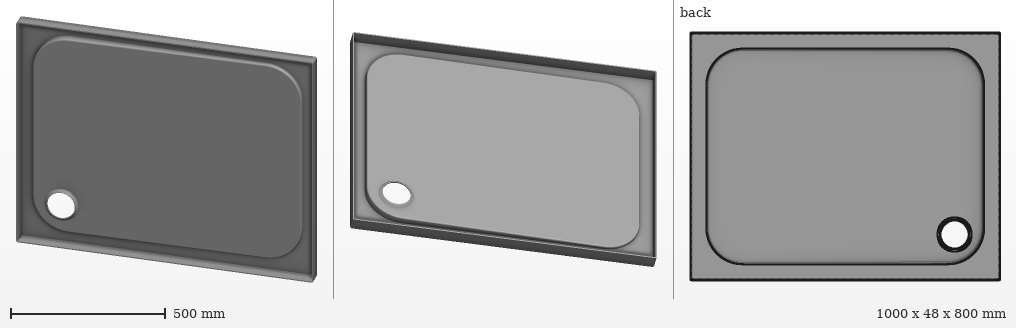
import cadquery as cq

length = 1000.0
depth = 48.0
height = 800.0
thickness = 4.0
edge_radius = 6.0

basin_margin = 48.0
basin_corner_radius = 121.0
basin_draft = 5.0
basin_drop_deep = 26.0
basin_drop_shallow = 11.0
basin_edge_radius = 5.0
basin_root_radius = 2.0

drain_x = -353.0
drain_z = -252.0
cup_base_radius = 57.0
cup_tip_radius = 48.0
cup_drop = 7.0
drain_radius = 46.0

rim_y = depth / 2
underside_y = rim_y - thickness
basin_half_length = length / 2 - basin_margin
floor_slope = (basin_drop_deep - basin_drop_shallow) / (2 * basin_half_length)


def plane_at(y):
    """Sketch plane facing -Y, with local x along X and local y along Z."""
    return cq.Workplane("XZ", origin=(0, y, 0))


def floor_plane(surface_y, x=0, z=0):
    """Plane parallel to the sloping floor, facing -Y, for a rim surface at surface_y."""
    middle_drop = (basin_drop_deep + basin_drop_shallow) / 2
    y = surface_y - middle_drop + floor_slope * x
    return cq.Workplane(cq.Plane((x, y, z), (1, floor_slope, 0), (floor_slope, -1, 0)))


def basin_block(surface_y, inset):
    """Tapered basin volume from surface_y to the sloping floor."""
    margin = basin_margin + inset
    outline = (
        cq.Sketch()
        .rect(length - 2 * margin, height - 2 * margin)
        .vertices()
        .fillet(basin_corner_radius - inset)
    )
    block = plane_at(surface_y).placeSketch(outline).extrude(depth, taper=basin_draft)
    beyond_floor = floor_plane(surface_y).rect(2 * length, 2 * height).extrude(2 * depth)
    return block.cut(beyond_floor).faces("<Y").edges().fillet(basin_edge_radius)


def rim():
    """Thin plate with a skirt around it, open towards -Y."""
    block = (
        plane_at(rim_y)
        .rect(length, height)
        .extrude(depth)
        .edges("|Y")
        .fillet(edge_radius)
        .faces(">Y")
        .edges()
        .fillet(edge_radius)
    )
    cavity = (
        plane_at(underside_y)
        .rect(length - 2 * thickness, height - 2 * thickness)
        .extrude(depth)
        .faces(">Y")
        .edges()
        .fillet(edge_radius - thickness)
    )
    return block.cut(cavity)


def add_basin(tray):
    tray = tray.union(basin_block(underside_y, 0))
    reach = basin_half_length + thickness
    rise = height / 2 - basin_margin + thickness
    root_zone = cq.selectors.BoxSelector(
        (-reach, underside_y - thickness / 2, -rise),
        (reach, underside_y + thickness / 2, rise),
    )
    tray = tray.edges(root_zone).fillet(basin_root_radius)
    return tray.cut(basin_block(rim_y, thickness))


def cup_cone(surface_y, base_radius, tip_radius):
    return (
        floor_plane(surface_y, drain_x, drain_z)
        .circle(base_radius)
        .workplane(offset=cup_drop)
        .circle(tip_radius)
        .loft()
    )


def add_drain(tray):
    wall = cup_tip_radius - drain_radius
    cup = cup_cone(underside_y, cup_base_radius, cup_tip_radius)
    hollow = cup_cone(rim_y, cup_base_radius - wall, drain_radius)
    hole = plane_at(rim_y).center(drain_x, drain_z).circle(drain_radius).extrude(depth)
    return tray.union(cup).cut(hollow).cut(hole)


result = add_drain(add_basin(rim()))